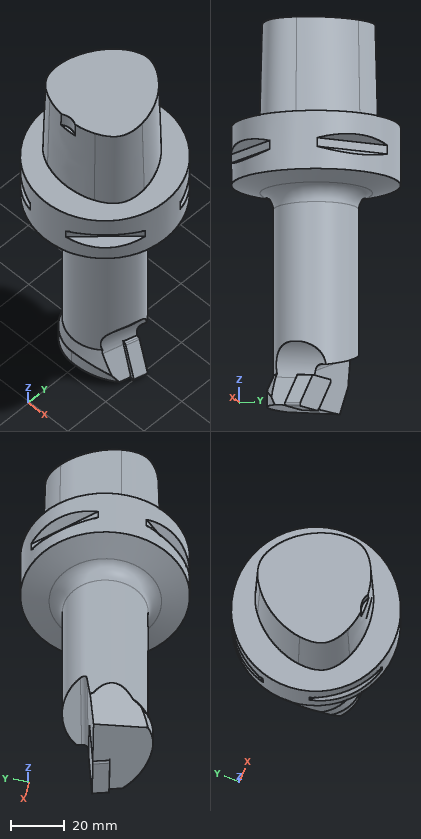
import cadquery as cq
import math

LENGTH = 148.0
TIP_Z = -110.0
TAPER_HEIGHT = LENGTH + TIP_Z

TRIGON_RADIUS = 22.0
TRIGON_LOBE = 1.5
LOBE_HALF_ANGLE = 37.0
TRIGON_STEPS = 12
TAPER_INSET = 0.96
KEY_WIDTH = 7.7
KEY_HEIGHT = 6.2
KEY_RADIUS = 6.8
KEY_DEPTH = 1.2

FLANGE_RADIUS = 31.5
FLANGE_HEIGHT = 22.0
NECK_ANGLE = 15.0
NECK_FILLET = 6.7

SLOT_COUNT = 4
SLOT_Z = -12.0
SLOT_FLOOR_DISTANCE = 27.8
SLOT_FLOOR_HALF = 1.6
SLOT_WALL_ANGLE = 30.0

SHANK_RADIUS = 16.0
FLARE_Z = -94.9
FLARE_SLOPE = 0.44
HEAD_FRONT_Y = -17.9
HEAD_FRONT_RADIUS = 26.6
HEAD_SIDE_X = 22.2
BACK_RELIEF_ANGLE = 19.6
BACK_RELIEF_Z = -89.7

TIP_X = 22.8
INSERT_ANGLE = 55.0
INSERT_EDGE = 15.5
INSERT_THICKNESS = 6.4
NOSE_RADIUS = 0.8
LEAD_ANGLE = 3.0
RAKE_X = 0.19
RAKE_Z = -0.12

FLUTE_WALL = (-25.0, 23.0)
FLUTE_WALL_ANGLE = 20.0
FLUTE_FILLET = 2.2
GULLET_TOP = (-6.5, 25.3)
GULLET_MIDDLE = (-10.2, 17.0)
GULLET_END = (-9.3, 12.1)
SIDE_END = (-2.2, 0.0)
UNDERSIDE = (-32.1, 2.5)
UNDERSIDE_ANGLE = 4.0

REACH = 59.2

half_nose_angle = math.radians(INSERT_ANGLE / 2)
nose_center_distance = NOSE_RADIUS / math.sin(half_nose_angle)
nose_center_height = nose_center_distance * math.sin(half_nose_angle + math.radians(LEAD_ANGLE))
SHARP_TIP_Z = TIP_Z - (nose_center_height - NOSE_RADIUS)

rake_plane = cq.Plane(
    origin=(TIP_X, 0, SHARP_TIP_Z), xDir=(1, -RAKE_X, 0), normal=(-RAKE_X, -1, -RAKE_Z)
)


def trigon_point(radius, degrees):
    """Point of the three-lobed outline whose outward normal has the given direction."""
    angle = math.radians(degrees)
    phase = 3 * math.radians(degrees - 90)
    support = radius + TRIGON_LOBE * math.cos(phase)
    slope = -3 * TRIGON_LOBE * math.sin(phase)
    return (
        support * math.cos(angle) - slope * math.sin(angle),
        support * math.sin(angle) + slope * math.cos(angle),
    )


def trigon_wire(z, radius):
    """Closed three-lobed outline with a lobe toward +Y, in alternating lobes and flanks."""
    outline = cq.Workplane("XY", origin=(0, 0, z))
    outline = outline.moveTo(*trigon_point(radius, 90 - LOBE_HALF_ANGLE))
    for lobe in (90, 210, 330):
        seams = (lobe - LOBE_HALF_ANGLE, lobe + LOBE_HALF_ANGLE, lobe + 120 - LOBE_HALF_ANGLE)
        for start, end in zip(seams, seams[1:]):
            step = (end - start) / TRIGON_STEPS
            points = [trigon_point(radius, start + i * step) for i in range(1, TRIGON_STEPS + 1)]
            outline = outline.spline(points, includeCurrent=True)
    return outline.close().val()


def make_coupling():
    base = trigon_wire(0, TRIGON_RADIUS)
    top = trigon_wire(TAPER_HEIGHT, TRIGON_RADIUS - TAPER_INSET)
    taper = cq.Workplane(obj=cq.Solid.makeLoft([base, top], True))
    front_y = -(TRIGON_RADIUS - TAPER_INSET - TRIGON_LOBE)
    key = (
        cq.Workplane("XY", origin=(0, 0, TAPER_HEIGHT - KEY_HEIGHT))
        .center(0, front_y + KEY_DEPTH - KEY_RADIUS)
        .circle(KEY_RADIUS)
        .extrude(KEY_HEIGHT)
    )
    key_limit = cq.Workplane("XY").box(KEY_WIDTH, REACH, LENGTH)
    return taper.cut(key.intersect(key_limit))


def make_shaft():
    """Flange, conical neck with its fillet, and the cylindrical shank."""
    angle = math.radians(NECK_ANGLE)
    neck_z = -FLANGE_HEIGHT - (FLANGE_RADIUS - SHANK_RADIUS) * math.tan(angle)
    center_r = SHANK_RADIUS + NECK_FILLET
    center_z = neck_z + NECK_FILLET * math.tan(angle) - NECK_FILLET / math.cos(angle)
    middle_angle = (math.pi / 2 + angle + math.pi) / 2

    def fillet_point(direction):
        return (
            center_r + NECK_FILLET * math.cos(direction),
            center_z + NECK_FILLET * math.sin(direction),
        )

    return (
        cq.Workplane("XZ")
        .lineTo(FLANGE_RADIUS, 0)
        .lineTo(FLANGE_RADIUS, -FLANGE_HEIGHT)
        .lineTo(*fillet_point(math.pi / 2 + angle))
        .threePointArc(fillet_point(middle_angle), fillet_point(math.pi))
        .lineTo(SHANK_RADIUS, FLARE_Z)
        .lineTo(0, FLARE_Z)
        .close()
        .revolve(360, (0, 0), (0, 1))
    )


def make_gripper_slot():
    """Trapezoidal cutter lying tangentially, open toward +X."""
    depth = REACH - SLOT_FLOOR_DISTANCE
    outer_half = SLOT_FLOOR_HALF + depth * math.tan(math.radians(SLOT_WALL_ANGLE))
    profile = [
        (SLOT_FLOOR_DISTANCE, SLOT_Z - SLOT_FLOOR_HALF),
        (REACH, SLOT_Z - outer_half),
        (REACH, SLOT_Z + outer_half),
        (SLOT_FLOOR_DISTANCE, SLOT_Z + SLOT_FLOOR_HALF),
    ]
    return cq.Workplane("XZ").polyline(profile).close().extrude(REACH, both=True)


def make_head():
    """Flaring cone trimmed to an outline of two arcs that meet at the front."""
    height = FLARE_Z - TIP_Z
    cone = cq.Workplane(obj=cq.Solid.makeCone(
        SHANK_RADIUS + FLARE_SLOPE * height, SHANK_RADIUS, height, pnt=cq.Vector(0, 0, TIP_Z)
    ))
    back_y = HEAD_FRONT_Y + SHANK_RADIUS
    arc_middle = SHANK_RADIUS * math.sqrt(0.5)
    front_center_y = HEAD_FRONT_Y + HEAD_FRONT_RADIUS
    half_x = HEAD_SIDE_X / 2

    def front_y(x):
        return front_center_y - math.sqrt(HEAD_FRONT_RADIUS**2 - x**2)

    outline = (
        cq.Workplane("XY", origin=(0, 0, TIP_Z))
        .moveTo(-SHANK_RADIUS, REACH)
        .lineTo(-SHANK_RADIUS, back_y)
        .threePointArc((-arc_middle, back_y - arc_middle), (0, HEAD_FRONT_Y))
        .threePointArc((half_x, front_y(half_x)), (HEAD_SIDE_X, front_y(HEAD_SIDE_X)))
        .lineTo(HEAD_SIDE_X, REACH)
        .close()
        .extrude(height)
    )
    return cone.intersect(outline)


def make_back_relief():
    """Everything beyond a plane that slopes inward toward the tip, on the -X side."""
    drop = REACH * math.tan(math.radians(BACK_RELIEF_ANGLE))
    return (
        cq.Workplane("XZ")
        .moveTo(-SHANK_RADIUS, BACK_RELIEF_Z)
        .lineTo(-SHANK_RADIUS + drop, BACK_RELIEF_Z - REACH)
        .lineTo(-SHANK_RADIUS, BACK_RELIEF_Z - REACH)
        .close()
        .extrude(REACH, both=True)
    )


def line_height(point, angle, across):
    """Height, at a given place across, of a line falling toward +X through a point."""
    return point[1] - (across - point[0]) * math.tan(math.radians(angle))


def make_flute():
    """Clears the head above the rake plane, up to a sloping end wall."""
    wall_middle = (0, line_height(FLUTE_WALL, FLUTE_WALL_ANGLE, 0))
    wall_foot = cq.selectors.NearestToPointSelector(rake_plane.toWorldCoords(wall_middle).toTuple())
    return (
        cq.Workplane(rake_plane)
        .moveTo(-REACH, line_height(FLUTE_WALL, FLUTE_WALL_ANGLE, -REACH))
        .lineTo(REACH, line_height(FLUTE_WALL, FLUTE_WALL_ANGLE, REACH))
        .lineTo(REACH, -REACH)
        .lineTo(-REACH, -REACH)
        .close()
        .extrude(-REACH)
        .edges(wall_foot)
        .fillet(FLUTE_FILLET)
    )


def make_gullet():
    """Rounded gullet beside the shank that runs down into the side below the insert."""
    return (
        cq.Workplane(rake_plane)
        .moveTo(REACH, GULLET_TOP[1])
        .lineTo(*GULLET_TOP)
        .threePointArc(GULLET_MIDDLE, GULLET_END)
        .lineTo(*SIDE_END)
        .lineTo(SIDE_END[0], -REACH)
        .lineTo(REACH, -REACH)
        .close()
        .extrude(REACH, both=True)
    )


def make_underside():
    return (
        cq.Workplane(rake_plane)
        .moveTo(-REACH, line_height(UNDERSIDE, UNDERSIDE_ANGLE, -REACH))
        .lineTo(REACH, line_height(UNDERSIDE, UNDERSIDE_ANGLE, REACH))
        .lineTo(REACH, -REACH)
        .lineTo(-REACH, -REACH)
        .close()
        .extrude(REACH, both=True)
    )


def make_insert():
    """Rhombic insert with rounded corners; its sharp corner is at the tip."""
    lower = math.radians(180 - LEAD_ANGLE)
    upper = math.radians(180 - LEAD_ANGLE - INSERT_ANGLE)
    lower_corner = (INSERT_EDGE * math.cos(lower), INSERT_EDGE * math.sin(lower))
    upper_corner = (INSERT_EDGE * math.cos(upper), INSERT_EDGE * math.sin(upper))
    far_corner = (lower_corner[0] + upper_corner[0], lower_corner[1] + upper_corner[1])
    return (
        cq.Workplane(rake_plane)
        .polyline([(0, 0), upper_corner, far_corner, lower_corner])
        .close()
        .extrude(INSERT_THICKNESS)
        .edges(cq.selectors.ParallelDirSelector(rake_plane.zDir))
        .fillet(NOSE_RADIUS)
    )


def make_holder(insert):
    holder = make_shaft().union(make_head()).union(make_coupling())
    slot = make_gripper_slot()
    for index in range(SLOT_COUNT):
        angle = (index + 0.5) * 360 / SLOT_COUNT
        holder = holder.cut(slot.rotate((0, 0, 0), (0, 0, 1), angle))
    for cutter in (make_back_relief(), make_flute(), make_gullet(), make_underside()):
        holder = holder.cut(cutter)
    return holder.cut(insert)


insert = make_insert()
holder = make_holder(insert)

result = cq.Compound.makeCompound([*holder.solids().vals(), *insert.solids().vals()])